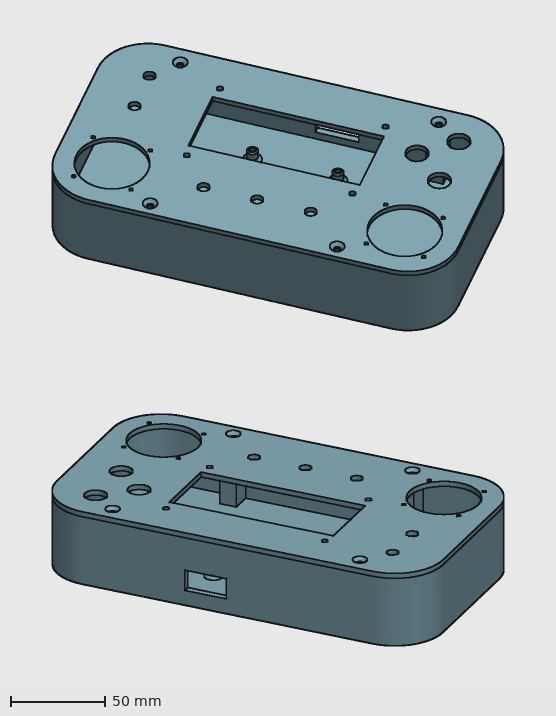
import cadquery as cq
import math

LENGTH = 226.0
WIDTH = 127.0
HEIGHT = 43.0
CORNER_RADIUS = 28.0
LID_THICKNESS = 3.0
WALL = 3.8
FLOOR = 4.0
RIM_Z = HEIGHT - LID_THICKNESS
INNER_LENGTH = LENGTH - 2 * WALL
INNER_WIDTH = WIDTH - 2 * WALL

SCREW_CENTER_X = -0.5
BACK_SCREW_PITCH = 144.9
BACK_SCREW_Y = 53.5
FRONT_SCREW_PITCH = 104.9
FRONT_SCREW_Y = -55.5
BACK_SCREW_XS = [SCREW_CENTER_X - BACK_SCREW_PITCH / 2, SCREW_CENTER_X + BACK_SCREW_PITCH / 2]
FRONT_SCREW_XS = [SCREW_CENTER_X - FRONT_SCREW_PITCH / 2, SCREW_CENTER_X + FRONT_SCREW_PITCH / 2]
SCREW_POINTS = [(x, BACK_SCREW_Y) for x in BACK_SCREW_XS] + [(x, FRONT_SCREW_Y) for x in FRONT_SCREW_XS]
SCREW_CLEARANCE_DIAMETER = 3.8
SCREW_HEAD_DIAMETER = 8.0
SCREW_HEAD_ANGLE = 90
SCREW_PILOT_DIAMETER = 2.7
SCREW_PILOT_DEPTH = 13.5
PILLAR_OFFSET_X = 0.5
PILLAR_WIDTH = 9.7
PILLAR_DEPTH = 11.8

STANDOFF_POINTS = [(-25.8, 34.0), (22.5, 32.5)]
STANDOFF_DIAMETER = 6.0
STANDOFF_HEIGHT = 7.0
STANDOFF_HOLE_DIAMETER = 2.7
STANDOFF_FOOT_FLARE = 2.0
STANDOFF_TOP_CHAMFER = 1.0

CONNECTOR_WIDTH = 24.2
CONNECTOR_HEIGHT = 12.0
CONNECTOR_X = 12.9
CONNECTOR_SILL_Z = 8.8

DISPLAY_Y = 13.5
WINDOW_LENGTH = 96.0
WINDOW_WIDTH = 40.0
DISPLAY_HOLE_DIAMETER = 3.5
DISPLAY_HOLE_PITCH_X = 92.9
DISPLAY_HOLE_PITCH_Y = 55.0

JOYSTICK_X = 82.0
JOYSTICK_Y = -32.5
JOYSTICK_DIAMETER = 40.0
JOYSTICK_HOLE_DIAMETER = 2.1
JOYSTICK_HOLE_PITCH = 32.0

BUTTON_DIAMETER = 12.5
BUTTON_POINTS = [(87.0, 42.5), (69.0, 26.7), (87.0, 10.5)]

CONTROL_DIAMETER = 6.5
CONTROL_COLUMN_X = -85.0
CONTROL_COLUMN_YS = [38.5, 13.5]
CONTROL_ROW_XS = [-30.0, 0.0, 30.0]
CONTROL_ROW_Y = -34.5
CONTROL_COLUMN = [(CONTROL_COLUMN_X, y) for y in CONTROL_COLUMN_YS]
CONTROL_ROW = [(x, CONTROL_ROW_Y) for x in CONTROL_ROW_XS]
CONTROL_POINTS = CONTROL_COLUMN + CONTROL_ROW


def rounded_plate(length, width, corner_radius, bottom_z, height):
    """Rectangular block with rounded vertical corners, centred on the Z axis."""
    plate = cq.Workplane("XY").workplane(offset=bottom_z).rect(length, width).extrude(height)
    return plate.edges("|Z").fillet(corner_radius)


def make_pillar(screw_x, screw_y):
    """Screw pillar that stands on the floor against the long wall nearest to its screw."""
    side = math.copysign(1, screw_y)
    center_x = screw_x - math.copysign(PILLAR_OFFSET_X, screw_x)
    height = RIM_Z - FLOOR
    center_y = side * (INNER_WIDTH - PILLAR_DEPTH) / 2
    pillar = cq.Workplane("XY").box(PILLAR_WIDTH, PILLAR_DEPTH, height, centered=(True, True, False))
    return pillar.translate((center_x, center_y, FLOOR))


def make_standoff(x, y):
    """Standoff with a chamfered top and a conical foot that widens into the floor."""
    radius = STANDOFF_DIAMETER / 2
    foot_radius = radius + STANDOFF_FOOT_FLARE
    top_z = FLOOR + STANDOFF_HEIGHT
    half_profile = [
        (0, FLOOR),
        (foot_radius, FLOOR),
        (radius, FLOOR + STANDOFF_FOOT_FLARE),
        (radius, top_z - STANDOFF_TOP_CHAMFER),
        (radius - STANDOFF_TOP_CHAMFER, top_z),
        (0, top_z),
    ]
    standoff = cq.Workplane("XZ").polyline(half_profile).close().revolve(360, (0, 0, 0), (0, 1, 0))
    return standoff.translate((x, y, 0))


def make_housing():
    """Open-topped tray with screw pillars, standoffs and a connector opening."""
    housing = rounded_plate(LENGTH, WIDTH, CORNER_RADIUS, 0, RIM_Z)
    housing = housing.cut(
        rounded_plate(INNER_LENGTH, INNER_WIDTH, CORNER_RADIUS - WALL, FLOOR, RIM_Z - FLOOR)
    )
    for screw_x, screw_y in SCREW_POINTS:
        housing = housing.union(make_pillar(screw_x, screw_y))
    for x, y in STANDOFF_POINTS:
        housing = housing.union(make_standoff(x, y))

    pilot_holes = (
        cq.Workplane("XY")
        .workplane(offset=RIM_Z - SCREW_PILOT_DEPTH)
        .pushPoints(SCREW_POINTS)
        .circle(SCREW_PILOT_DIAMETER / 2)
        .extrude(SCREW_PILOT_DEPTH)
    )
    standoff_holes = (
        cq.Workplane("XY")
        .pushPoints(STANDOFF_POINTS)
        .circle(STANDOFF_HOLE_DIAMETER / 2)
        .extrude(FLOOR + STANDOFF_HEIGHT)
    )
    connector_opening = (
        cq.Workplane("XY")
        .box(CONNECTOR_WIDTH, 2 * WALL, CONNECTOR_HEIGHT, centered=(True, True, False))
        .translate((CONNECTOR_X, (WIDTH - WALL) / 2, CONNECTOR_SILL_Z))
    )
    return housing.cut(pilot_holes).cut(standoff_holes).cut(connector_opening)


def make_lid():
    """Flat cover plate with the openings for the controls and the display."""
    lid = rounded_plate(LENGTH, WIDTH, CORNER_RADIUS, RIM_Z, LID_THICKNESS)
    top = lid.faces(">Z").workplane(origin=(0, 0, HEIGHT))
    lid = top.pushPoints(SCREW_POINTS).cskHole(
        SCREW_CLEARANCE_DIAMETER, SCREW_HEAD_DIAMETER, SCREW_HEAD_ANGLE
    )
    top = lid.faces(">Z").workplane(origin=(0, 0, HEIGHT))
    lid = top.pushPoints(BUTTON_POINTS).hole(BUTTON_DIAMETER)
    top = lid.faces(">Z").workplane(origin=(0, 0, HEIGHT))
    lid = top.pushPoints(CONTROL_POINTS).hole(CONTROL_DIAMETER)

    display = lid.faces(">Z").workplane(origin=(0, DISPLAY_Y, HEIGHT))
    lid = display.rect(WINDOW_LENGTH, WINDOW_WIDTH).cutThruAll()
    display = lid.faces(">Z").workplane(origin=(0, DISPLAY_Y, HEIGHT))
    lid = display.rarray(DISPLAY_HOLE_PITCH_X, DISPLAY_HOLE_PITCH_Y, 2, 2).hole(DISPLAY_HOLE_DIAMETER)

    for x in (-JOYSTICK_X, JOYSTICK_X):
        joystick = lid.faces(">Z").workplane(origin=(x, JOYSTICK_Y, HEIGHT))
        lid = joystick.hole(JOYSTICK_DIAMETER)
        joystick = lid.faces(">Z").workplane(origin=(x, JOYSTICK_Y, HEIGHT))
        lid = joystick.rarray(JOYSTICK_HOLE_PITCH, JOYSTICK_HOLE_PITCH, 2, 2).hole(JOYSTICK_HOLE_DIAMETER)
    return lid


housing = make_housing()
lid = make_lid()
result = cq.Compound.makeCompound([housing.solids().val(), lid.solids().val()])